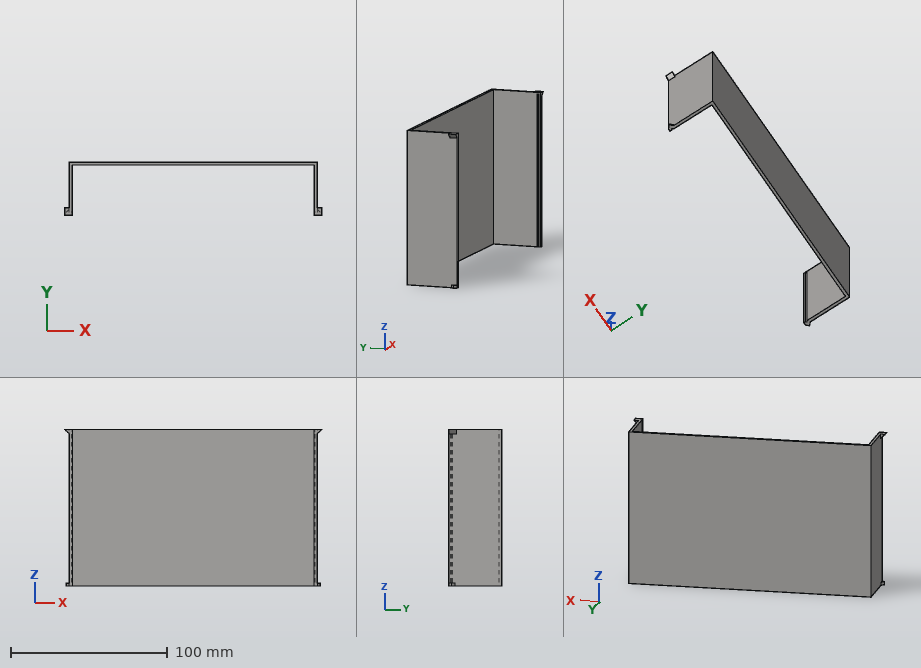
import cadquery as cq

overall_width = 164.0
depth = 34.0
height = 100.0

wall = 2.0
hook_reach = 3.0
outer_half_width = overall_width / 2 - hook_reach
inner_half_width = outer_half_width - wall

hook_depth = 5.0

ridge_reach = 2.0
ridge_height = 2.0

groove_depth = 0.7
groove_center = ridge_reach
groove_top_gap = 1.0


def make_channel():
    """Back panel with two side walls, open toward the front at Y = 0."""
    block = cq.Workplane("XY").box(2 * outer_half_width, depth, height, centered=(True, False, False))
    opening = cq.Workplane("XY").box(
        2 * inner_half_width, depth - wall, height, centered=(True, False, False)
    )
    return block.cut(opening)


def make_hook():
    """Right-hand hook, flat on top and sloping at 45 degrees underneath."""
    return (
        cq.Workplane("XZ")
        .moveTo(outer_half_width, height - hook_reach)
        .lineTo(outer_half_width + hook_reach, height)
        .lineTo(outer_half_width, height)
        .close()
        .extrude(-hook_depth)
    )


def make_vee(wall_face, center, reach, length):
    """Upright prism with a 45 degree V profile pointing toward +X."""
    return (
        cq.Workplane("XY")
        .moveTo(wall_face, center - reach)
        .lineTo(wall_face + reach, center)
        .lineTo(wall_face, center + reach)
        .close()
        .extrude(length)
    )


hook = make_hook()
ridge = make_vee(outer_half_width, ridge_reach, ridge_reach, ridge_height)
groove = make_vee(inner_half_width, groove_center, groove_depth, height - groove_top_gap)

result = make_channel()
for feature in (hook, ridge):
    result = result.union(feature).union(feature.mirror("YZ"))
result = result.cut(groove).cut(groove.mirror("YZ"))